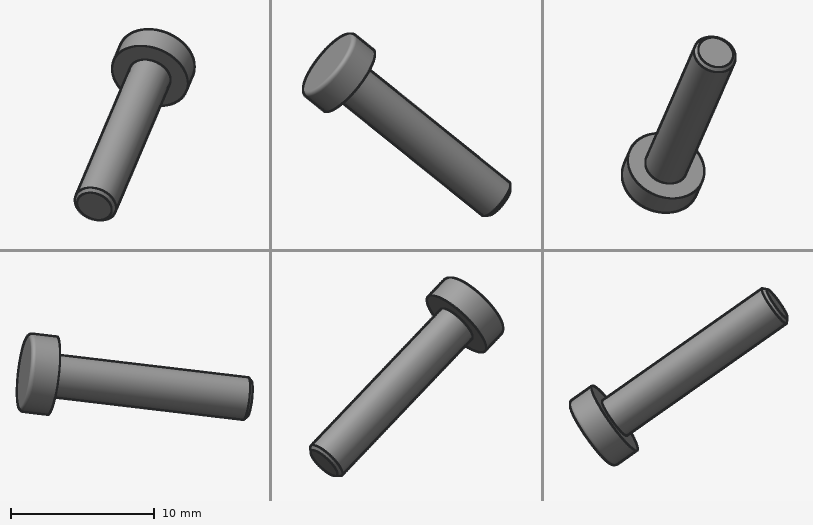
import cadquery as cq

head_diameter = 5.5
head_height = 2.0
head_edge_radius = 0.3
shank_diameter = 3.0
shank_length = 14.0
tip_chamfer = 0.25


def cylinder_along_y(diameter, start_y, length):
    """Solid cylinder on the Y axis, running from start_y towards +Y."""
    base = cq.Workplane("XZ", origin=(0, start_y, 0))
    return base.circle(diameter / 2).extrude(-length)


def make_head():
    """Cylindrical head with its outer top edge rounded."""
    head = cylinder_along_y(head_diameter, 0, head_height)
    return head.faces(">Y").edges().fillet(head_edge_radius)


def make_shank():
    """Plain shank with a chamfered tip."""
    shank = cylinder_along_y(shank_diameter, -shank_length, shank_length)
    return shank.faces("<Y").edges().chamfer(tip_chamfer)


result = make_head().union(make_shank())